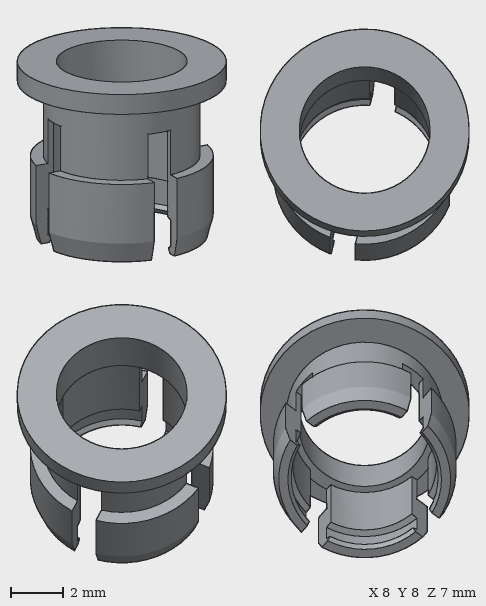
import cadquery as cq
import math

flange_diameter = 8.0
flange_thickness = 0.8
neck_diameter = 6.0
neck_length = 3.0
barb_diameter = 7.0
barb_length = 2.4
lead_in_length = 0.8
lead_in_angle = 15.0
bore_diameter = 5.0
leg_bore_diameter = 5.5
groove_diameter = 6.0
groove_bottom = 0.33
groove_shoulder_bottom = 1.37
groove_shoulder_top = 1.43
lip_diameter = 5.62
lip_height = 0.18
mouth_diameter = 5.87
slot_width = 1.0
neck_above_slots = 1.2

barb_bottom = lead_in_length
barb_top = barb_bottom + barb_length
flange_bottom = barb_top + neck_length
total_height = flange_bottom + flange_thickness
slot_height = flange_bottom - neck_above_slots

bore_radius = bore_diameter / 2
leg_bore_radius = leg_bore_diameter / 2
groove_radius = groove_diameter / 2
lip_radius = lip_diameter / 2
mouth_radius = mouth_diameter / 2
neck_radius = neck_diameter / 2
barb_radius = barb_diameter / 2
flange_radius = flange_diameter / 2
tip_radius = barb_radius - lead_in_length * math.tan(math.radians(lead_in_angle))


def turned_body():
    """Flanged sleeve with a barb, a tapered lead-in and a stepped, grooved bore, revolved about Z."""
    outline = [
        (mouth_radius, 0),
        (tip_radius, 0),
        (barb_radius, barb_bottom),
        (barb_radius, barb_top),
        (neck_radius, barb_top),
        (neck_radius, flange_bottom),
        (flange_radius, flange_bottom),
        (flange_radius, total_height),
        (bore_radius, total_height),
        (bore_radius, slot_height),
        (leg_bore_radius, slot_height),
        (leg_bore_radius, groove_shoulder_top),
        (groove_radius, groove_shoulder_bottom),
        (groove_radius, groove_bottom),
        (lip_radius, lip_height),
    ]
    return cq.Workplane("XZ").polyline(outline).close().revolve(360, (0, 0), (0, 1))


def leg_slot(angle):
    """Slot across the full diameter, open at the bottom."""
    slot = cq.Workplane("XY").rect(flange_diameter, slot_width).extrude(slot_height)
    return slot.rotate((0, 0, 0), (0, 0, 1), angle)


result = turned_body()
for slot_angle in (0, 90):
    result = result.cut(leg_slot(slot_angle))